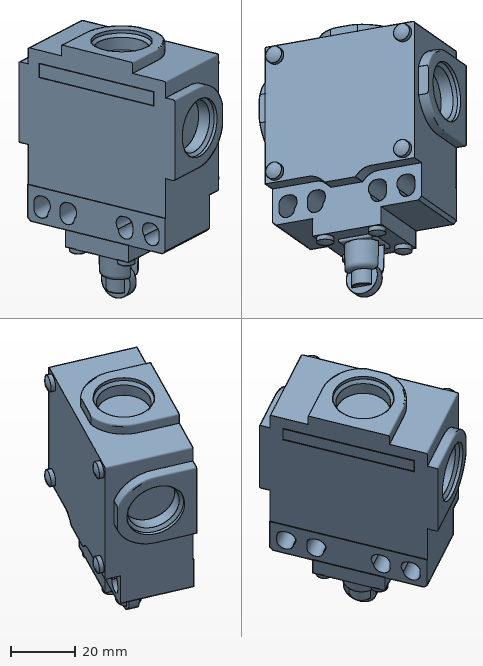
import cadquery as cq
import math


body_width = 51.95
body_depth = 29.0
body_bottom = 23.4
body_top = 81.0
body_edge_radius = 0.6
step_height = 35.6
lower_depth = 24.0
bottom_chamfer = 1.1
lug_bottom = 32.7
lug_width = 11.0
lug_flare_radius = 6.8

raised_height = 0.25
front_plate_top = 35.45
label_width = 43.3
label_bottom = 72.0
label_top = 76.65

boss_radius = 13.45
boss_axis_depth = 13.5
boss_back = 26.1
boss_height = 3.6
side_boss_z = 62.1
side_boss_reach = 29.48
entry_diameter = 19.0
entry_rim_depth = 1.1
bore_diameter = 17.0
bore_depth = 6.3

mount_diameter = 5.5
mount_x = (11.0, 20.9)
mount_bottom_z = 28.1
mount_top_z = 29.95
mount_sideways = 0.8

screw_diameter = 5.5
screw_rim_height = 1.5
screw_dome_height = 0.85
back_screw_x = 22.25
back_screw_z = (39.0, 77.5)

neck_width = 23.85
neck_bottom = 17.6
neck_screw_offset = 9.05
axis_depth = lower_depth / 2

pad_width = 11.9
pad_edge_radius = 0.7
sleeve_top = 16.4
sleeve_bottom = 7.4
sleeve_top_diameter = 12.5
sleeve_bottom_diameter = 12.0
sleeve_edge_radius = 1.5
plunger_diameter = 8.0
plunger_bottom = 2.4
plunger_chamfer = 0.25
fork_slot_width = 3.8
fork_slot_top = 11.8

roller_diameter = 10.8
roller_width = 3.4
axle_diameter = 3.4


def block(width, y_front, y_back, z_bottom, z_top):
    """Box centred on X = 0 between the given depths and heights."""
    return cq.Workplane("XY").box(
        width, y_back - y_front, z_top - z_bottom, centered=(True, False, False)
    ).translate((0, y_front, z_bottom))


def make_housing():
    upper = block(body_width, 0, body_depth, step_height, body_top)
    upper = upper.edges("|Y and >Z").fillet(body_edge_radius)
    lower = block(body_width, 0, lower_depth, body_bottom, step_height)
    front_plate = block(body_width, -raised_height, 0, body_bottom, front_plate_top)
    base = lower.union(front_plate).edges("|Y and <Z").chamfer(bottom_chamfer)
    label = block(label_width, -raised_height, 0, label_bottom, label_top)
    return upper.union(base).union(label).union(make_lug())


def make_lug():
    """Central lug under the step, flaring into it with concave rounds."""
    drop = step_height - lug_bottom
    flare = math.sqrt(lug_flare_radius**2 - (lug_flare_radius - drop) ** 2)
    half = lug_width / 2
    profile = (
        cq.Workplane("XZ", origin=(0, lower_depth, 0))
        .moveTo(-half - flare, step_height)
        .radiusArc((-half, lug_bottom), lug_flare_radius)
        .lineTo(half, lug_bottom)
        .radiusArc((half + flare, step_height), lug_flare_radius)
        .close()
    )
    return profile.extrude(lower_depth - body_depth)


def make_boss():
    """U-shaped boss rising along Z from Z = 0, open end at Y = 0."""
    boss = (
        cq.Workplane("XY")
        .moveTo(-boss_radius, 0)
        .lineTo(-boss_radius, boss_axis_depth)
        .threePointArc((0, boss_axis_depth + boss_radius), (boss_radius, boss_axis_depth))
        .lineTo(boss_radius, 0)
        .close()
        .extrude(boss_height)
    )
    boss = boss.faces(">Z").edges("not <Y").fillet(body_edge_radius)
    return boss.intersect(block(2 * boss_radius, 0, boss_back, 0, boss_height))


def make_entry():
    """Cutter for a stepped cable entry going down from the boss face at Z = boss_height."""
    taper = (entry_diameter - bore_diameter) / 2
    bore_radius = bore_diameter / 2
    entry_radius = entry_diameter / 2
    return (
        cq.Workplane("XZ")
        .lineTo(entry_radius, 0)
        .lineTo(entry_radius, -entry_rim_depth)
        .lineTo(bore_radius, -entry_rim_depth - taper)
        .lineTo(bore_radius, -bore_depth)
        .lineTo(0, -bore_depth)
        .close()
        .revolve(360, (0, 0, 0), (0, 1, 0))
        .translate((0, boss_axis_depth, boss_height))
    )


def on_top(shape):
    return shape.translate((0, 0, body_top))


def on_side(shape, side):
    """Turn a top feature to the +X (side = 1) or -X (side = -1) face."""
    turned = shape.rotate((0, 0, 0), (0, 1, 0), side * 90)
    return turned.translate((side * (side_boss_reach - boss_height), 0, side_boss_z))


def add_cable_entries(part):
    boss = make_boss()
    entry = make_entry()
    part = part.union(on_top(boss)).cut(on_top(entry))
    for side in (-1, 1):
        part = part.union(on_side(boss, side)).cut(on_side(entry, side))
    return part


def mount_slot(x, z, travel, angle):
    """Round-ended cutter through the whole depth, long by the given travel."""
    return (
        cq.Workplane("XZ", origin=(x, -raised_height, z))
        .slot2D(travel + mount_diameter, mount_diameter, angle)
        .extrude(-raised_height - body_depth)
    )


def mount_hole(x, side):
    """Through cutter for one mounting hole on the given side of the centre."""
    upright = mount_slot(
        side * x, (mount_top_z + mount_bottom_z) / 2, mount_top_z - mount_bottom_z, 90
    )
    sideways = mount_slot(side * (x - mount_sideways / 2), mount_top_z, mount_sideways, 0)
    return upright.union(sideways)


def cut_mount_holes(part):
    for side in (-1, 1):
        for x in mount_x:
            part = part.cut(mount_hole(x, side))
    return part


def make_screw_head():
    """Domed screw head rising along Z from Z = 0."""
    radius = screw_diameter / 2
    dome_radius = (radius**2 + screw_dome_height**2) / (2 * screw_dome_height)
    return (
        cq.Workplane("XZ")
        .lineTo(radius, 0)
        .lineTo(radius, screw_rim_height)
        .radiusArc((0, screw_rim_height + screw_dome_height), -dome_radius)
        .close()
        .revolve(360, (0, 0, 0), (0, 1, 0))
    )


def add_screws(part):
    head = make_screw_head()
    back_head = head.rotate((0, 0, 0), (1, 0, 0), -90)
    neck_head = head.rotate((0, 0, 0), (1, 0, 0), 180)
    for side in (-1, 1):
        for z in back_screw_z:
            part = part.union(back_head.translate((side * back_screw_x, body_depth, z)))
        for y_side in (-1, 1):
            y = axis_depth + y_side * neck_screw_offset
            part = part.union(neck_head.translate((side * neck_screw_offset, y, neck_bottom)))
    return part


def disc(diameter, z_bottom, z_top):
    """Upright cylinder on the actuator axis."""
    return (
        cq.Workplane("XY", origin=(0, axis_depth, z_bottom))
        .circle(diameter / 2)
        .extrude(z_top - z_bottom)
    )


def cross_disc(diameter, width):
    """Cylinder along Y, centred on the roller."""
    return (
        cq.Workplane("XZ", origin=(0, axis_depth - width / 2, roller_diameter / 2))
        .circle(diameter / 2)
        .extrude(-width)
    )


def fork_slot(z_top):
    y_front = axis_depth - fork_slot_width / 2
    return block(2 * sleeve_top_diameter, y_front, y_front + fork_slot_width, 0, z_top)


def make_actuator():
    neck = block(neck_width, 0, lower_depth, neck_bottom, body_bottom)
    pad_front = axis_depth - pad_width / 2
    pad = block(pad_width, pad_front, pad_front + pad_width, sleeve_top, neck_bottom)
    pad = pad.faces("<Z").edges().fillet(pad_edge_radius)
    sleeve = (
        cq.Workplane("XY", origin=(0, axis_depth, sleeve_bottom))
        .circle(sleeve_bottom_diameter / 2)
        .workplane(offset=sleeve_top - sleeve_bottom)
        .circle(sleeve_top_diameter / 2)
        .loft(ruled=True)
        .faces("<Z").edges().fillet(sleeve_edge_radius)
        .cut(fork_slot(sleeve_top))
    )
    plunger = disc(plunger_diameter, plunger_bottom, sleeve_top)
    plunger = plunger.faces("<Z").chamfer(plunger_chamfer).cut(fork_slot(fork_slot_top))
    roller = cross_disc(roller_diameter, roller_width)
    axle = cross_disc(axle_diameter, (fork_slot_width + plunger_diameter) / 2)
    return neck.union(pad).union(sleeve).union(plunger).union(axle).union(roller)


part = make_housing()
part = add_cable_entries(part)
part = cut_mount_holes(part)
part = part.union(make_actuator())
result = add_screws(part)